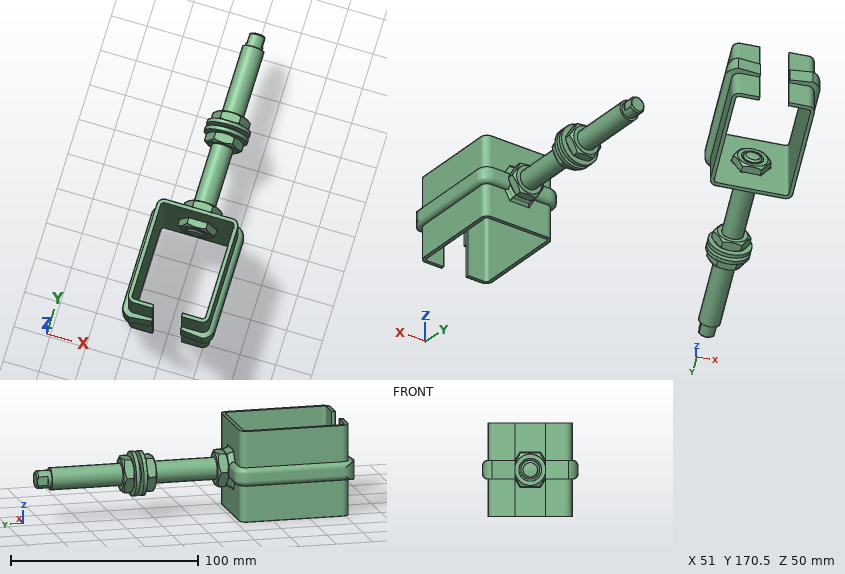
import cadquery as cq
import math


overall_length = 170.5

channel_width = 45.0
channel_depth = 59.9
channel_height = 50.0
channel_wall = 2.0
channel_corner = 4.0
slot_half = 8.0

strap_outer_width = 51.0
strap_height = 10.0
strap_thickness = (strap_outer_width - channel_width) / 2
strap_lip_end_thickness = 1.7
strap_lip_bend = 20.5
strap_front = channel_depth + strap_thickness

boss_across_flats = 19.0
boss_blend = strap_thickness / 2
recess_depth = 1.7

rod_diameter = 12.0
rod_hole_diameter = 12.1
rod_tip = overall_length - strap_front
neck_diameter = 9.5
neck_length = 8.0
neck_chamfer = 0.9
flat_length = 6.0
flat_spacing = 8.2
inner_end_diameter = 10.0
inner_tip_diameter = 7.7
inner_tip_taper = 1.0
inner_tip_cone = 0.3

nut_across_flats = 18.0
nut_height = 6.0
nut_face_diameter = 16.7
nut_chamfer_angle = 30
countersink_diameter = 12.1

washer_diameter = 24.0
washer_bore = 12.8
washer_thickness = 2.0
washer_gap = 2.0
washer_pair_y = 51.9

nut_seat = recess_depth - channel_wall
inner_nut_face = nut_seat - nut_height
half_width = channel_width / 2


def cylinder_y(diameter, start, end):
    """Cylinder on the Y axis between two Y positions."""
    solid = cq.Workplane("XZ", origin=(0, end, 0)).circle(diameter / 2)
    return solid.extrude(end - start)


def hexagon_y(across_flats, start, end):
    """Hexagonal prism on the Y axis, with its corners on the X axis."""
    across_corners = across_flats / math.cos(math.radians(30))
    solid = cq.Workplane("XZ", origin=(0, end, 0)).polygon(6, across_corners)
    return solid.extrude(end - start)


def revolve_y(outline):
    """Solid of revolution about Y from (radius, y) points."""
    return cq.Workplane("XY").polyline(outline).close().revolve(360, (0, 0, 0), (0, 1, 0))


def rounded_block(half, back, front, radius, height):
    """Upright block centred on Z = 0, with its four vertical edges rounded."""
    block = cq.Workplane("XY").box(2 * half, back - front, height)
    return block.edges("|Z").fillet(radius).translate((0, (back + front) / 2, 0))


def make_channel():
    outside = rounded_block(half_width, 0, -channel_depth, channel_corner, channel_height)
    inside = rounded_block(
        half_width - channel_wall,
        -channel_wall,
        channel_wall - channel_depth,
        channel_corner - channel_wall,
        channel_height,
    )
    slot = (
        cq.Workplane("XY")
        .box(2 * slot_half, channel_depth, channel_height)
        .translate((0, -channel_depth, 0))
    )
    recess = hexagon_y(boss_across_flats, -channel_wall, nut_seat)
    rod_hole = cylinder_y(rod_hole_diameter, -channel_wall, 0)
    return outside.cut(inside).cut(slot).cut(recess).cut(rod_hole)


def make_strap_outline():
    """Full-height strap: bent round the channel, its lips thinning towards the slot."""
    outer_half = strap_outer_width / 2
    outer_corner = channel_corner + strap_thickness
    bend_centre_x = outer_half - outer_corner
    lip_end_y = -channel_depth - strap_lip_end_thickness
    bend_rise = math.sqrt(outer_corner**2 - (strap_lip_bend - bend_centre_x) ** 2)
    bend_y = bend_rise - strap_front
    outside = (
        cq.Workplane("XY", origin=(0, 0, -strap_height / 2))
        .moveTo(bend_centre_x, strap_thickness)
        .radiusArc((outer_half, strap_thickness - outer_corner), outer_corner)
        .lineTo(outer_half, bend_y)
        .radiusArc((strap_lip_bend, -strap_front), outer_corner)
        .lineTo(slot_half, lip_end_y)
        .lineTo(slot_half, -strap_thickness - channel_corner)
        .lineTo(-slot_half, -strap_thickness - channel_corner)
        .lineTo(-slot_half, lip_end_y)
        .lineTo(-strap_lip_bend, -strap_front)
        .radiusArc((-outer_half, bend_y), outer_corner)
        .lineTo(-outer_half, strap_thickness - outer_corner)
        .radiusArc((-bend_centre_x, strap_thickness), outer_corner)
        .close()
        .extrude(strap_height)
    )
    inside = rounded_block(half_width, 0, -channel_depth, channel_corner, strap_height)
    return outside.cut(inside)


def make_strap_rib():
    """Strap with both outer edges fully rounded, running straight past the front."""
    flat_half = strap_height / 2 - strap_thickness
    path = (
        cq.Workplane("XY")
        .moveTo(-half_width, -strap_front)
        .lineTo(-half_width, -channel_corner)
        .radiusArc((channel_corner - half_width, 0), channel_corner)
        .lineTo(half_width - channel_corner, 0)
        .radiusArc((half_width, -channel_corner), channel_corner)
        .lineTo(half_width, -strap_front)
    )
    return (
        cq.Workplane("XZ", origin=(-half_width, -strap_front, 0))
        .moveTo(0, -strap_height / 2)
        .lineTo(0, strap_height / 2)
        .radiusArc((-strap_thickness, flat_half), -strap_thickness)
        .lineTo(-strap_thickness, -flat_half)
        .radiusArc((0, -strap_height / 2), -strap_thickness)
        .close()
        .sweep(path)
    )


def make_boss():
    """Hexagonal boss whose sides flare out at the foot and round over at the top."""
    foot = boss_across_flats / 2 + boss_blend
    middle = boss_across_flats / 2
    top = boss_across_flats / 2 - boss_blend
    bar = (
        cq.Workplane("XY", origin=(0, 0, -boss_across_flats))
        .moveTo(-foot, 0)
        .lineTo(foot, 0)
        .radiusArc((middle, boss_blend), boss_blend)
        .radiusArc((top, strap_thickness), -boss_blend)
        .lineTo(-top, strap_thickness)
        .radiusArc((-middle, boss_blend), -boss_blend)
        .radiusArc((-foot, 0), boss_blend)
        .close()
        .extrude(2 * boss_across_flats)
    )
    boss = bar.rotate((0, 0, 0), (0, 1, 0), 90)
    for angle in (30, 150):
        boss = boss.intersect(bar.rotate((0, 0, 0), (0, 1, 0), angle))
    return boss


def make_strap():
    lip_region = (
        cq.Workplane("XY")
        .box(channel_width, strap_front, strap_height)
        .translate((0, -strap_front, 0))
    )
    strap = make_strap_outline().intersect(make_strap_rib().union(lip_region))
    rod_hole = cylinder_y(rod_hole_diameter, 0, strap_thickness)
    return strap.union(make_boss()).cut(rod_hole)


def make_rod():
    shoulder = rod_tip - neck_length
    cone_base = inner_nut_face - inner_tip_taper
    rod = revolve_y(
        [
            (0, cone_base - inner_tip_cone),
            (inner_tip_diameter / 2, cone_base),
            (inner_end_diameter / 2, inner_nut_face),
            (inner_end_diameter / 2, nut_seat),
            (rod_diameter / 2, nut_seat),
            (rod_diameter / 2, shoulder),
            (neck_diameter / 2, shoulder),
            (neck_diameter / 2, rod_tip - neck_chamfer),
            (neck_diameter / 2 - neck_chamfer, rod_tip),
            (0, rod_tip),
        ]
    )
    flat_cutter = cq.Workplane("XY").box(rod_diameter, 2 * flat_length, rod_diameter)
    for side in (-1, 1):
        flat_x = side * (flat_spacing + rod_diameter) / 2
        rod = rod.cut(flat_cutter.translate((flat_x, rod_tip, 0)))
    return rod


def make_nut(start, bore):
    """Hexagonal nut, chamfered on both faces, whose lower face is at Y = start."""
    end = start + nut_height
    face_radius = nut_face_diameter / 2
    rim_radius = nut_across_flats
    drop = (rim_radius - face_radius) * math.tan(math.radians(nut_chamfer_angle))
    lower_cone = revolve_y(
        [
            (0, start),
            (face_radius, start),
            (rim_radius, start + drop),
            (rim_radius, end + drop),
            (0, end + drop),
        ]
    )
    upper_cone = lower_cone.mirror("XZ").translate((0, start + end, 0))
    blank = hexagon_y(nut_across_flats, start, end).intersect(lower_cone).intersect(upper_cone)
    return blank.cut(cylinder_y(bore, start, end))


def make_end_nut():
    """Nut inside the channel: screwed on the reduced rod end and countersunk there."""
    countersink_depth = (countersink_diameter - inner_end_diameter) / 2
    countersink = revolve_y(
        [
            (0, inner_nut_face),
            (countersink_diameter / 2, inner_nut_face),
            (inner_end_diameter / 2, inner_nut_face + countersink_depth),
            (0, inner_nut_face + countersink_depth),
        ]
    )
    return make_nut(inner_nut_face, inner_end_diameter).cut(countersink)


def make_washer(start):
    end = start + washer_thickness
    return cylinder_y(washer_diameter, start, end).cut(cylinder_y(washer_bore, start, end))


upper_washer_start = washer_pair_y + washer_gap / 2
lower_washer_start = washer_pair_y - washer_gap / 2 - washer_thickness
rod_nut_starts = [
    strap_thickness,
    lower_washer_start - nut_height,
    upper_washer_start + washer_thickness,
]

channel = make_channel()
strap = make_strap()
rod = make_rod()
end_nut = make_end_nut()
rod_nuts = [make_nut(start, rod_diameter) for start in rod_nut_starts]
washers = [make_washer(start) for start in (lower_washer_start, upper_washer_start)]

result = cq.Compound.makeCompound(
    [
        channel.solids().val(),
        strap.solids().val(),
        rod.solids().val(),
        end_nut.solids().val(),
        *[nut.solids().val() for nut in rod_nuts],
        *[washer.solids().val() for washer in washers],
    ]
)